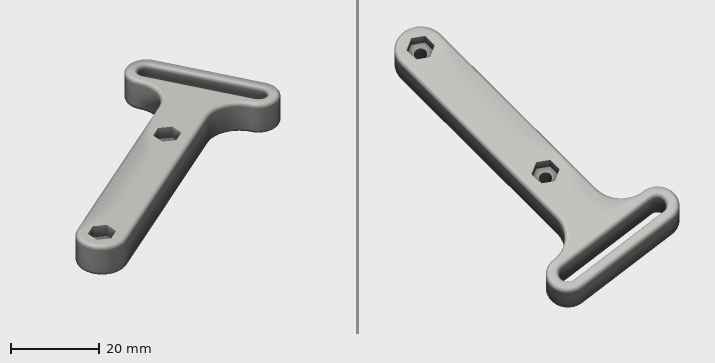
import cadquery as cq
import math

length = 76.9
thickness = 8.0
edge_radius = 1.0

bar_end_radius = 5.0
bar_end_x = 13.49
slot_radius = 2.0

stem_half_width = 6.0

hole_spacing = 42.9
lower_hole_from_tip = 5.9
hole_diameter = 3.0
nut_across_flats = 5.6
nut_pocket_depth = 3.0

top_y = length / 2
bar_y = top_y - bar_end_radius
bar_bottom_y = bar_y - bar_end_radius
blend_radius = bar_end_x - stem_half_width
stem_top_y = bar_bottom_y - blend_radius
stem_end_y = -length / 2 + stem_half_width
bar_half_length = bar_end_x + bar_end_radius
blend_mid_offset = blend_radius * math.sqrt(0.5)
blend_mid_x = bar_end_x - blend_mid_offset
blend_mid_y = stem_top_y + blend_mid_offset
lower_hole_y = -length / 2 + lower_hole_from_tip
hole_points = [(0, lower_hole_y), (0, lower_hole_y + hole_spacing)]


def make_body():
    """T-shaped plate with a rounded stem end and a through slot in the crossbar."""
    plate = (
        cq.Workplane("XY")
        .workplane(offset=-thickness / 2)
        .moveTo(-bar_end_x, top_y)
        .lineTo(bar_end_x, top_y)
        .threePointArc((bar_half_length, bar_y), (bar_end_x, bar_bottom_y))
        .threePointArc((blend_mid_x, blend_mid_y), (stem_half_width, stem_top_y))
        .lineTo(stem_half_width, stem_end_y)
        .threePointArc((0, -length / 2), (-stem_half_width, stem_end_y))
        .lineTo(-stem_half_width, stem_top_y)
        .threePointArc((-blend_mid_x, blend_mid_y), (-bar_end_x, bar_bottom_y))
        .threePointArc((-bar_half_length, bar_y), (-bar_end_x, top_y))
        .close()
        .extrude(thickness)
    )
    slot = (
        cq.Workplane("XY")
        .center(0, bar_y)
        .slot2D(2 * (bar_end_x + slot_radius), 2 * slot_radius)
        .extrude(thickness / 2, both=True)
    )
    return plate.cut(slot).faces("|Z").edges().fillet(edge_radius)


def make_screw_holes():
    """Through holes for the screws."""
    return (
        cq.Workplane("XY")
        .pushPoints(hole_points)
        .circle(hole_diameter / 2)
        .extrude(thickness / 2, both=True)
    )


def make_nut_pockets():
    """Hexagonal pockets in the upper face, with corners pointing along Y."""
    across_corners = nut_across_flats / math.cos(math.pi / 6)
    corner_angle = 90
    pockets = cq.Workplane("XY")
    for x, y in hole_points:
        pocket = (
            cq.Workplane("XY")
            .polygon(6, across_corners)
            .extrude(-nut_pocket_depth)
            .rotate((0, 0, 0), (0, 0, 1), corner_angle)
            .translate((x, y, thickness / 2))
        )
        pockets = pockets.add(pocket)
    return pockets.combine()


result = make_body().cut(make_screw_holes()).cut(make_nut_pockets())